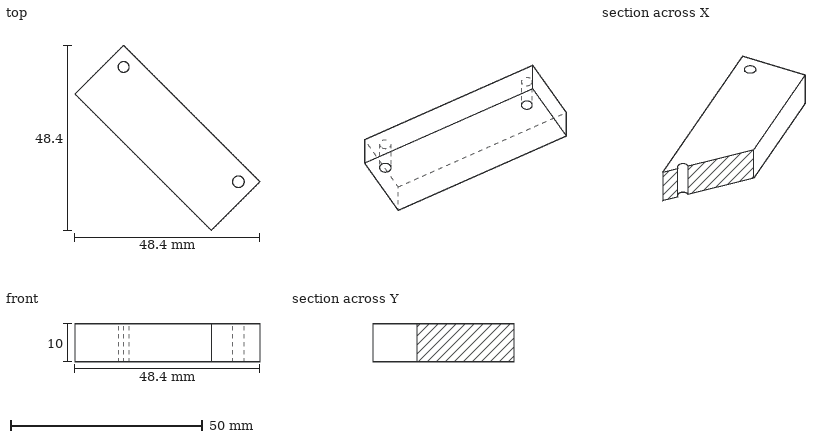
import cadquery as cq
import math

outer_span = 48.38
width = 18.0
length = outer_span * math.sqrt(2) - width
height = 10.0
bar_angle = -45.0

left_hole_diameter = 2.8
right_hole_diameter = 2.98
hole_inset = 4.0


def make_bar():
    """Plain block with its long side along X, centred in plan, base on Z = 0."""
    return cq.Workplane("XY").box(length, width, height, centered=(True, True, False))


def drill_hole(bar, x, diameter):
    """Drill one through hole beside the +Y long side at the given X."""
    y = width / 2 - hole_inset
    hole = cq.Workplane("XY").center(x, y).circle(diameter / 2).extrude(height)
    return bar.cut(hole)


hole_x = length / 2 - hole_inset
bar = make_bar()
bar = drill_hole(bar, -hole_x, left_hole_diameter)
bar = drill_hole(bar, hole_x, right_hole_diameter)

result = bar.rotate((0, 0, 0), (0, 0, 1), bar_angle)